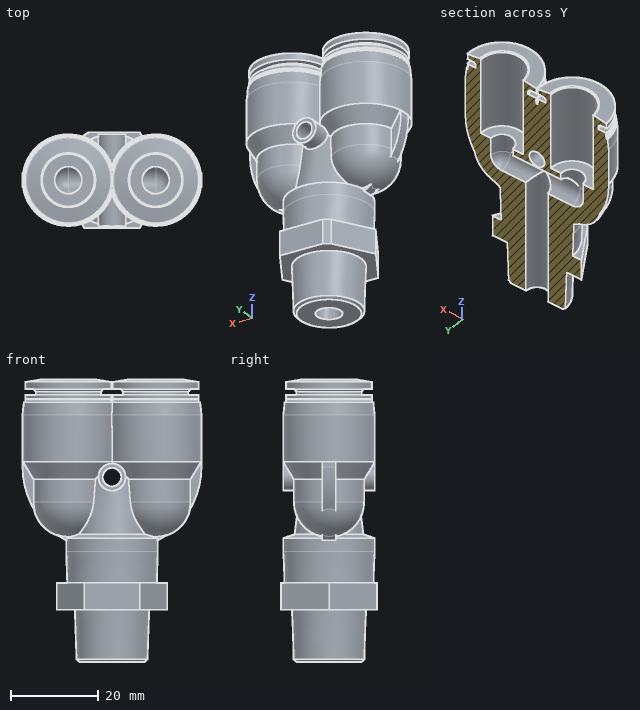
import cadquery as cq
import math

total_height = 64.7
hex_bottom = 11.9
hex_top = 18.1
collar_straight_bottom = 25.3
collar_top = 28.35
column_bottom = 29.25
elbow_height = 36.6
cup_bottom = 41.8
vent_height = 42.3
body_bottom = 45.8
body_taper_start = 56.55
body_top = 59.45

port_offset = 9.995
body_radius = 21.0 / 2
body_top_radius = 10.2
cup_radius = 8.1
ring_radius = 19.8 / 2
groove_radius = 9.7
groove_bottom = 60.05
groove_top = 60.3
ring_top = 61.15
neck_radius = 15.0 / 2
neck_top = 61.85
flange_radius = 19.8 / 2
flange_root_radius = 7.95
flange_bottom = 62.45
flange_top = 64.1
flange_land = 0.25
socket_radius = 12.0 / 2
mouth_chamfer = 0.25
passage_radius = 6.2 / 2

collar_radius = body_radius
collar_bottom_radius = 10.3
column_bottom_radius = 7.925
column_top_radius = 6.35
hex_across_flats = 22.0
corner_cut_x = 5.3
corner_cut_y = 9.9
thread_top_radius = 8.55
thread_bottom_radius = 8.15
thread_tip_radius = 7.45
thread_chamfer_height = 0.65

boss_radius = 6.2 / 2
boss_length = 21.0
vent_diameter = 4.2

rib_thickness = 3.1
rib_curve_radius = 19.1
rib_curve_top = 44.65


def revolve_about_z(profile):
    """Turn a closed radius-height wire in the XZ plane into a solid of revolution."""
    return profile.close().revolve(360, (0, 0, 0), (0, 1, 0))


def make_port():
    """Port centred on Z: round-bottomed cup, body, ring, neck and release flange."""
    diagonal = cup_radius * math.sqrt(0.5)
    profile = (
        cq.Workplane("XZ")
        .moveTo(0, elbow_height - cup_radius)
        .threePointArc((diagonal, elbow_height - diagonal), (cup_radius, elbow_height))
        .lineTo(cup_radius, cup_bottom)
        .lineTo(body_radius, body_bottom)
        .lineTo(body_radius, body_taper_start)
        .lineTo(body_top_radius, body_top)
        .lineTo(ring_radius, body_top)
        .lineTo(ring_radius, groove_bottom)
        .lineTo(groove_radius, groove_bottom)
        .lineTo(groove_radius, groove_top)
        .lineTo(ring_radius, groove_top)
        .lineTo(ring_radius, ring_top)
        .lineTo(neck_radius, ring_top)
        .lineTo(neck_radius, neck_top)
        .lineTo(flange_root_radius, flange_bottom)
        .lineTo(flange_radius, flange_bottom)
        .lineTo(flange_radius, flange_top)
        .lineTo(flange_radius - flange_land, flange_top)
        .lineTo(socket_radius + mouth_chamfer, total_height)
        .lineTo(0, total_height)
    )
    return revolve_about_z(profile)


def make_port_bore():
    """Tube socket and the narrower passage below it, ending in a spherical elbow."""
    diagonal = passage_radius * math.sqrt(0.5)
    profile = (
        cq.Workplane("XZ")
        .moveTo(0, elbow_height - passage_radius)
        .threePointArc((diagonal, elbow_height - diagonal), (passage_radius, elbow_height))
        .lineTo(passage_radius, cup_bottom)
        .lineTo(socket_radius, cup_bottom)
        .lineTo(socket_radius, total_height - mouth_chamfer)
        .lineTo(socket_radius + mouth_chamfer, total_height)
        .lineTo(0, total_height)
    )
    return revolve_about_z(profile)


def make_stem():
    """Chamfered tapered thread, tapered collar and the conical column between the ports."""
    profile = (
        cq.Workplane("XZ")
        .lineTo(thread_tip_radius, 0)
        .lineTo(thread_bottom_radius, thread_chamfer_height)
        .lineTo(thread_top_radius, hex_bottom)
        .lineTo(collar_bottom_radius, hex_top)
        .lineTo(collar_radius, collar_straight_bottom)
        .lineTo(collar_radius, collar_top)
        .lineTo(column_bottom_radius, column_bottom)
        .lineTo(column_top_radius, vent_height)
        .lineTo(0, vent_height)
    )
    return revolve_about_z(profile)


def make_hexagon():
    """Wrench hexagon with flats facing +Y and -Y and one corner cut off at -X, +Y."""
    half_flats = hex_across_flats / 2
    corner_radius = hex_across_flats / math.sqrt(3)
    half_side = corner_radius / 2
    cut_side_x = -corner_radius + corner_cut_y / math.sqrt(3)
    outline = [
        (corner_radius, 0),
        (half_side, half_flats),
        (-corner_cut_x, half_flats),
        (cut_side_x, corner_cut_y),
        (-corner_radius, 0),
        (-half_side, -half_flats),
        (half_side, -half_flats),
    ]
    plane = cq.Workplane("XY").workplane(offset=hex_bottom)
    return plane.polyline(outline).close().extrude(hex_top - hex_bottom)


def make_ribs():
    """Thin web in the XZ plane whose rounded sides run from the bodies to the collar."""
    outer_x = port_offset + body_radius
    curve_centre_x = outer_x - rib_curve_radius

    def curve_point(x):
        drop = math.sqrt(rib_curve_radius**2 - (x - curve_centre_x) ** 2)
        return x, rib_curve_top - drop

    end_x, end_z = curve_point(collar_radius)
    middle_x, middle_z = curve_point((outer_x + collar_radius) / 2)
    return (
        cq.Workplane("XZ")
        .moveTo(-outer_x, body_bottom)
        .lineTo(-outer_x, rib_curve_top)
        .threePointArc((-middle_x, middle_z), (-end_x, end_z))
        .lineTo(end_x, end_z)
        .threePointArc((middle_x, middle_z), (outer_x, rib_curve_top))
        .lineTo(outer_x, body_bottom)
        .close()
        .extrude(rib_thickness / 2, both=True)
    )


def cross_cylinder(plane, height, radius, length):
    """Cylinder centred on the Z axis at a height, running normal to the given plane."""
    centre = (0, 0, height)
    return cq.Workplane(plane, origin=centre).circle(radius).extrude(length / 2, both=True)


result = make_stem().union(make_hexagon()).union(make_ribs())
result = result.union(cross_cylinder("XZ", vent_height, boss_radius, boss_length))
for side in (-1, 1):
    result = result.union(make_port().translate((side * port_offset, 0, 0)))

for side in (-1, 1):
    result = result.cut(make_port_bore().translate((side * port_offset, 0, 0)))
result = result.cut(cross_cylinder("YZ", elbow_height, passage_radius, 2 * port_offset))
result = result.cut(cq.Workplane("XY").circle(passage_radius).extrude(elbow_height))

result = result.cut(cross_cylinder("XZ", vent_height, vent_diameter / 2, boss_length))